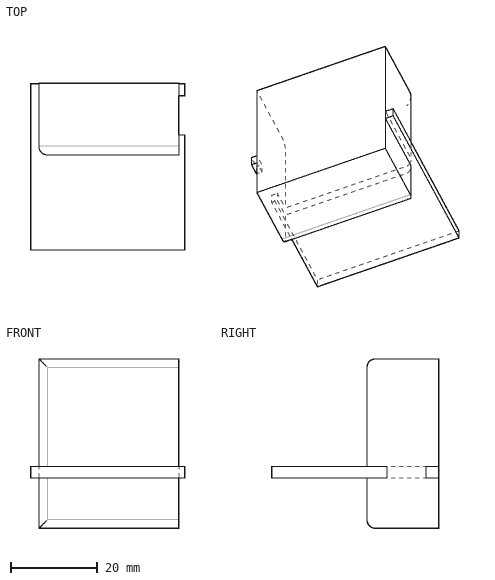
import cadquery as cq

block_width = 32.18
block_depth = 16.55
block_height = 39.0
edge_radius = 4.0 / 2

plate_width = 35.5
plate_thickness = 2.73
plate_bottom = 11.55
plate_left_overhang = 1.9
plate_back_setback = 0.1
total_depth = 38.4
plate_depth = total_depth - plate_back_setback

notch_back_tab = 2.85
notch_length = 8.97


def box_from_back(left, back, bottom, width, depth, height):
    """Box given by its left, back and bottom faces, extending towards -Y."""
    return cq.Workplane("XY").box(width, depth, height, centered=False).translate(
        (left, back - depth, bottom)
    )


def make_block():
    """Block with its front face rounded along the left, top and bottom edges."""
    block = box_from_back(0, 0, 0, block_width, block_depth, block_height)
    front_edges = block.faces("<Y").edges("<X or >Z or <Z")
    return front_edges.fillet(edge_radius)


def make_plate():
    """Flat plate with a rectangular notch beside the block."""
    plate = box_from_back(
        -plate_left_overhang, -plate_back_setback, plate_bottom,
        plate_width, plate_depth, plate_thickness,
    )
    notch_width = plate_width - plate_left_overhang - block_width
    notch = box_from_back(
        block_width, -plate_back_setback - notch_back_tab, plate_bottom,
        notch_width, notch_length, plate_thickness,
    )
    return plate.cut(notch)


result = make_block().union(make_plate())